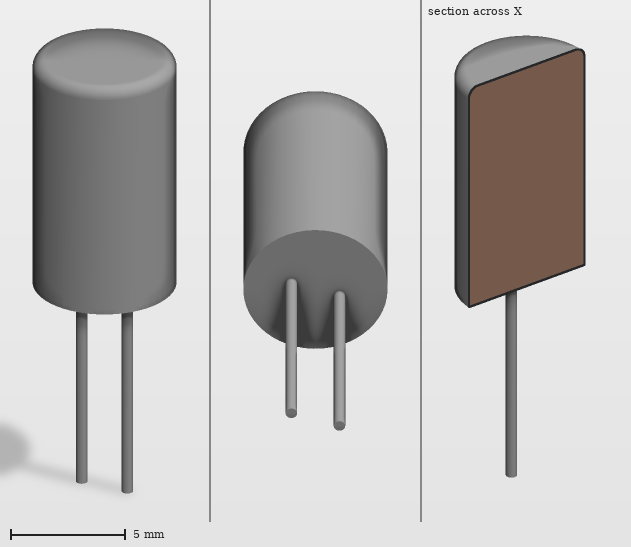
import cadquery as cq

total_height = 21.0
body_diameter = 6.3
body_height = 11.0
top_edge_radius = 0.5
lead_diameter = 0.5
lead_spacing = 2.2

lead_length = total_height - body_height


def make_body():
    """Upright cylinder standing on Z = 0 with a rounded top rim."""
    body = cq.Workplane("XY").circle(body_diameter / 2).extrude(body_height)
    return body.faces(">Z").edges().fillet(top_edge_radius)


def make_leads():
    """Two round leads, spaced along X, hanging below the body."""
    lead_centers = [(side * lead_spacing / 2, 0) for side in (-1, 1)]
    return (
        cq.Workplane("XY")
        .pushPoints(lead_centers)
        .circle(lead_diameter / 2)
        .extrude(-lead_length)
    )


result = make_body().union(make_leads())